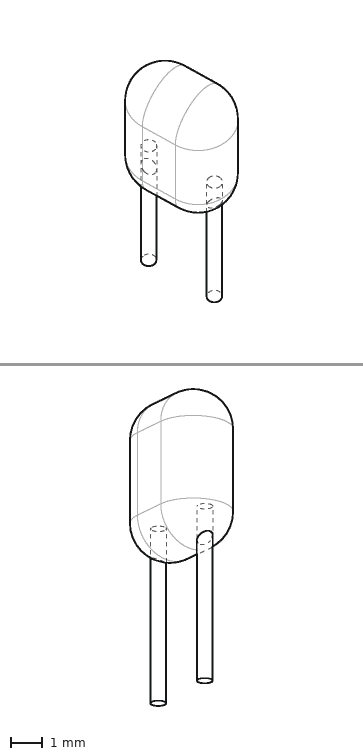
import cadquery as cq

total_height = 9.95
body_width = 3.81
body_depth = 2.54
body_height = 5.32
lead_diameter = 0.5
lead_pitch = 2.54

round_radius = body_depth / 2
end_offset = body_width / 2 - round_radius
body_bottom = total_height - body_height
straight_bottom = body_bottom + round_radius
straight_top = total_height - round_radius
lead_length = straight_bottom


def make_rounded_end(x):
    """Upright round bar with hemispherical ends, centred at x."""
    profile = (
        cq.Workplane("XZ")
        .moveTo(0, body_bottom)
        .radiusArc((round_radius, straight_bottom), -round_radius)
        .lineTo(round_radius, straight_top)
        .radiusArc((0, total_height), -round_radius)
        .close()
    )
    return profile.revolve(360, (0, 0, 0), (0, 1, 0)).translate((x, 0, 0))


def make_middle():
    """Straight middle stretch, with the same rounded outline in the YZ plane."""
    return (
        cq.Workplane("YZ", origin=(-end_offset, 0, 0))
        .center(0, (body_bottom + total_height) / 2)
        .slot2D(body_height, body_depth, 90)
        .extrude(2 * end_offset)
    )


def make_lead(x):
    """Round wire lead at x, running from its tip up into the body."""
    return cq.Workplane("XY").center(x, 0).circle(lead_diameter / 2).extrude(lead_length)


def make_body(leads):
    """Fully rounded body with a blind hole for each lead."""
    body = make_middle()
    for side in (-1, 1):
        body = body.union(make_rounded_end(side * end_offset))
    for lead in leads:
        body = body.cut(lead)
    return body


leads = [make_lead(side * lead_pitch / 2) for side in (-1, 1)]
body = make_body(leads)

result = cq.Compound.makeCompound([body.val(), *[lead.val() for lead in leads]])